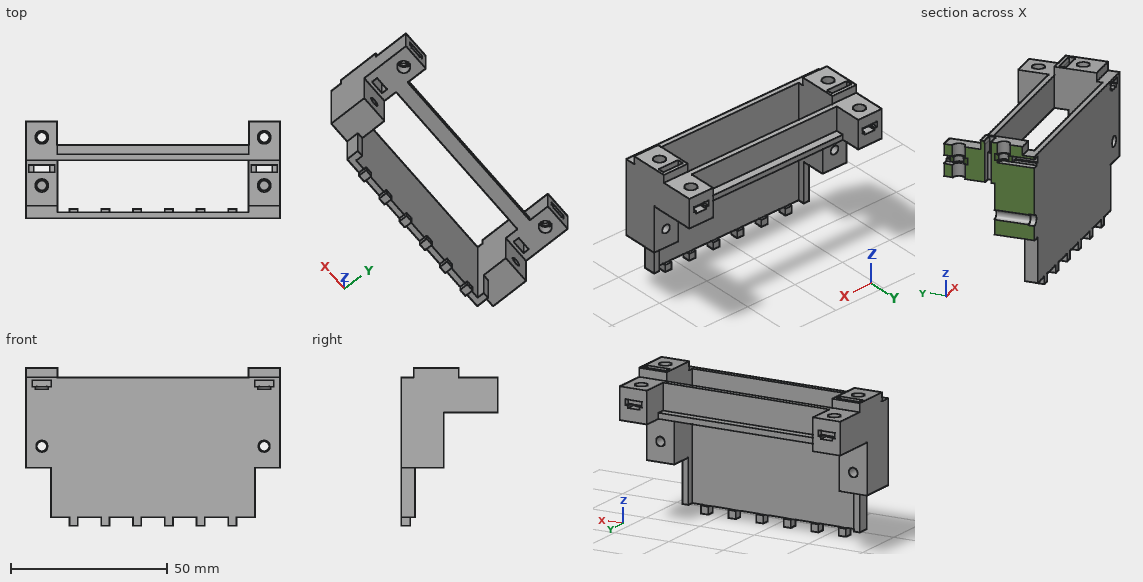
import cadquery as cq
import math


length = 81.28
half_length = length / 2
depth = 31.0
foot_height = 2.7
block_bottom = 18.5
body_top = 47.5
tower_top = 50.5

plate_thickness = 2.0
lower_half_width = 32.7
leg_depth = 4.5
foot_count = 6
foot_pitch = 10.16
foot_width = 2.7
foot_depth = 3.0

block_width = 10.16
block_depth = 13.7
tower_front = 4.0
tower_back = 18.5
end_center = half_length - block_width / 2

rear_block_width = 10.0
rear_height = 11.3
rear_bottom = body_top - rear_height
bar_thickness = 2.0
bar_flange_depth = 5.0
bar_flange_height = 2.0

nut_width = 6.1
nut_height = 2.0
nut_bore = 3.2
nut_top_drop = 4.0

clearance_diameter = 4.2
groove_height = 0.8
groove_drop = nut_top_drop + nut_height + groove_height
tower_hole_y = 10.5
rear_hole_y = 25.9

screw_hole_z = 25.45
screw_mouth_diameter = 3.7
screw_mouth_depth = plate_thickness
screw_through_diameter = 3.2

tower_slot_front = 14.8
tower_slot_back = 16.9
tower_slot_width = 8.24
tower_slot_depth = 5.0
tower_slot_through_width = 5.0
lead_in_depth = 1.0
lead_in_run = 0.29


def box(x_range, y_range, z_range):
    """Box between two limits along each axis."""
    (x0, x1), (y0, y1), (z0, z1) = x_range, y_range, z_range
    return cq.Workplane("XY").box(x1 - x0, y1 - y0, z1 - z0, centered=False).translate((x0, y0, z0))


def centered_span(center, width):
    return (center - width / 2, center + width / 2)


def end_span(side, outer, inner):
    """X limits, in rising order, between two distances from the middle on one side."""
    return tuple(sorted((side * outer, side * inner)))


def vertical_cylinder(x, y, bottom, height, diameter):
    return cq.Workplane("XY", origin=(x, y, bottom)).circle(diameter / 2).extrude(height)


def front_cylinder(x, z, hole_depth, diameter):
    """Cylinder running back from the front face."""
    return cq.Workplane("XZ", origin=(x, 0, z)).circle(diameter / 2).extrude(-hole_depth)


def front_plate():
    upper = box((-half_length, half_length), (0, plate_thickness), (block_bottom, body_top))
    lower = box((-lower_half_width, lower_half_width), (0, plate_thickness), (foot_height, block_bottom))
    plate = upper.union(lower)
    for i in range(foot_count):
        foot_x = (i - (foot_count - 1) / 2) * foot_pitch
        plate = plate.union(box(centered_span(foot_x, foot_width), (0, foot_depth), (0, foot_height)))
    return plate


def housing_end(side):
    """Leg, end block, tower and rear block of one end."""
    block_inner = half_length - block_width
    block_x = end_span(side, half_length, block_inner)
    rear_x = end_span(side, half_length, half_length - rear_block_width)
    leg = box(end_span(side, lower_half_width, block_inner), (0, leg_depth), (foot_height, block_bottom))
    block = box(block_x, (0, block_depth), (block_bottom, body_top))
    tower = box(block_x, (tower_front, tower_back), (rear_bottom, tower_top))
    rear_block = box(rear_x, (tower_back, depth), (rear_bottom, body_top))
    return leg.union(block).union(tower).union(rear_block)


def rear_bar():
    reach = half_length - rear_block_width
    web = box((-reach, reach), (tower_back, tower_back + bar_thickness), (rear_bottom, body_top))
    flange = box(
        (-reach, reach),
        (tower_back, tower_back + bar_flange_depth),
        (rear_bottom, rear_bottom + bar_flange_height),
    )
    return web.union(flange)


def nut_slot(x, hole_y, open_y, top):
    """Room for a nut on the hole axis and its way in from the face at open_y, with a narrower groove
    below that ends round at the hole."""
    inner_end = hole_y + math.copysign(nut_width / 2, hole_y - open_y)
    floor = top - nut_top_drop - nut_height
    slot = box(
        centered_span(x, nut_width),
        tuple(sorted((open_y, inner_end))),
        (floor, floor + nut_height),
    )
    groove = box(
        centered_span(x, clearance_diameter),
        tuple(sorted((open_y, hole_y))),
        (floor - groove_height, floor),
    )
    return slot.union(groove)


def nut_holes(x):
    """Blind hole in the tower and through hole in the rear block."""
    tower_hole = vertical_cylinder(x, tower_hole_y, tower_top - groove_drop, groove_drop, clearance_diameter)
    rear_hole = vertical_cylinder(x, rear_hole_y, rear_bottom, rear_height, clearance_diameter)
    return tower_hole.union(rear_hole)


def screw_hole(x):
    mouth = front_cylinder(x, screw_hole_z, screw_mouth_depth, screw_mouth_diameter)
    return mouth.union(front_cylinder(x, screw_hole_z, block_depth, screw_through_diameter))


def tower_slot(x):
    """Wide pocket with a sloped lead-in at its back, and a narrower slot on down through the tower."""
    pocket = (
        cq.Workplane("YZ", origin=(x, 0, 0))
        .moveTo(tower_slot_front, tower_top - tower_slot_depth)
        .lineTo(tower_slot_back, tower_top - tower_slot_depth)
        .lineTo(tower_slot_back, tower_top - lead_in_depth)
        .lineTo(tower_slot_back + lead_in_run, tower_top)
        .lineTo(tower_slot_front, tower_top)
        .close()
        .extrude(tower_slot_width / 2, both=True)
    )
    through = box(
        centered_span(x, tower_slot_through_width),
        (tower_slot_front, tower_slot_back),
        (rear_bottom, tower_top - tower_slot_depth),
    )
    return pocket.union(through)


def make_housing():
    housing = front_plate().union(rear_bar())
    for side in (-1, 1):
        housing = housing.union(housing_end(side))
    for side in (-1, 1):
        x = side * end_center
        cuts = (
            nut_holes(x),
            nut_slot(x, tower_hole_y, 0, tower_top),
            nut_slot(x, rear_hole_y, depth, body_top),
            screw_hole(x),
            tower_slot(x),
        )
        for cut in cuts:
            housing = housing.cut(cut)
    return housing


def make_nut(x, y, hole_top):
    """Square nut on the axis of a hole that starts at hole_top."""
    bottom = hole_top - nut_top_drop - nut_height
    blank = cq.Workplane("XY", origin=(x, y, bottom)).rect(nut_width, nut_width)
    return blank.extrude(nut_height).cut(vertical_cylinder(x, y, bottom, nut_height, nut_bore))


housing = make_housing()

nuts = []
for side in (-1, 1):
    x = side * end_center
    nuts.append(make_nut(x, tower_hole_y, tower_top))
    nuts.append(make_nut(x, rear_hole_y, body_top))

result = cq.Compound.makeCompound([housing.solids().val(), *[nut.solids().val() for nut in nuts]])